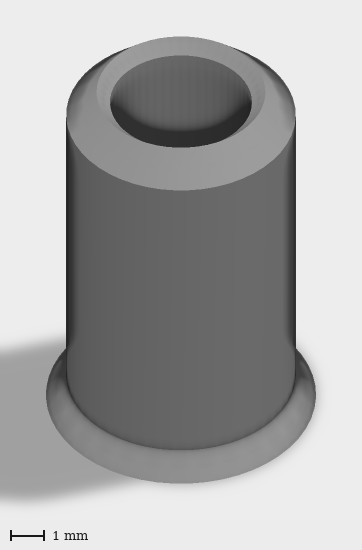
import cadquery as cq

length = 11.9
flange_diameter = 8.0
flange_height = 0.79
body_diameter = 6.8
bore_diameter = 4.2
mouth_diameter = 5.0
top_chamfer = (body_diameter - mouth_diameter) / 2
countersink_depth = (mouth_diameter - bore_diameter) / 2

flange_radius = flange_diameter / 2
body_radius = body_diameter / 2
bore_radius = bore_diameter / 2
mouth_radius = mouth_diameter / 2

half_section = (
    cq.Workplane("XZ")
    .moveTo(bore_radius, 0)
    .lineTo(flange_radius, 0)
    .lineTo(body_radius, flange_height)
    .lineTo(body_radius, length - top_chamfer)
    .lineTo(mouth_radius, length)
    .lineTo(bore_radius, length - countersink_depth)
    .close()
)

result = half_section.revolve(360, (0, 0, 0), (0, 1, 0))